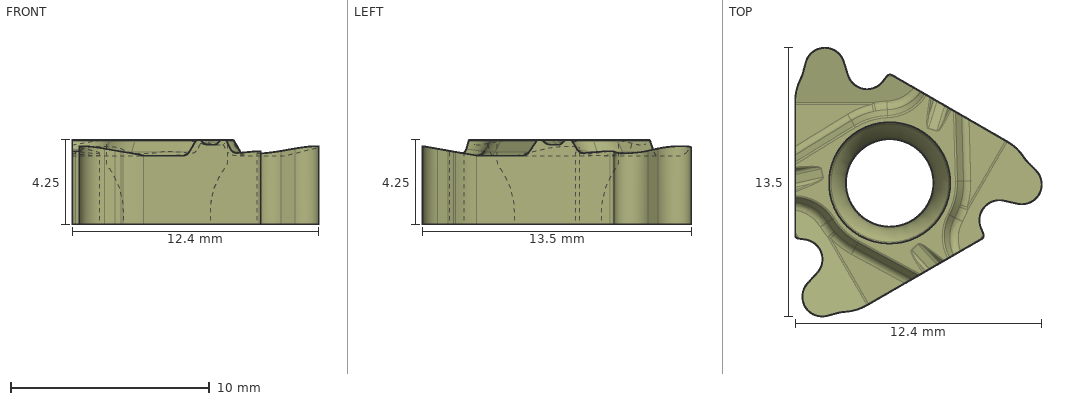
import cadquery as cq
import math

LOBES = 3
TOP_Z = 4.25
FLAT_DISTANCE = 4.76
FLAT_NORMAL = 180

TIP_CENTER = (-3.26, 5.8)
TIP_RADIUS = 1.0
NOTCH_CENTER = (-1.14, 5.72)
NOTCH_RADIUS = 1.0
NOTCH_EXIT_ANGLE = -38
FLANK_ANGLE = 15
SHOULDER_START_Y = 4.1
SHOULDER_RADIUS = 2.44
SHOULDER_ANGLE = 26
FLANK_BLEND = 1.62
CORNER_RADIUS = 0.19
CORNER_LEVEL_Y = 5.36

FLOOR_Z = 3.45
CREASE_Y = 4.02
CLIMB_ANGLE = 10
CREASE_RADIUS = 0.54
CLIMB_X = (-6.76, 2.57)
CLIMB_END_Y = 8.8
STOCK_RADIUS = 9.47

LAND_RADIUS = 3.37
LAND_LINE_ANGLE = 121.6
LAND_SWEEP_ANGLE = 92
HOLLOW_RADIUS = 2.31
HOLLOW_END_ANGLE = -15
STRAIGHT_LENGTH = 4.6
WALL_ANGLE = 30
LAND_FOOT_Z = 3.25
RIDGE_REACH = 5.14
RIM_RADIUS = 0.12
FOOT_RADIUS = 0.42

SELECT_REACH = 0.01
LENGTH_TOLERANCE = 0.001
STEEP_NORMAL_Z = 0.7

HOLE_RADIUS = 4.4 / 2
BORE_RADIUS = 3.06
BORE_DEPTH = 1.07
SEAT_BLEND = 0.43
SEAT_ANGLE = 38

GROOVE_END = (-3.41, 0.51)
GROOVE_HEADING = 12.5
GROOVE_LENGTH = 2.16
GROOVE_RISE_ANGLE = 9.8
GROOVE_FLOOR = 0.43
GROOVE_BLEND = 0.27
GROOVE_WALL_ANGLE = 45
GROOVE_TALL = 0.68
GROOVE_RIM_RADIUS = 0.11


def polar(radius, angle, center=(0, 0)):
    a = math.radians(angle)
    return (center[0] + radius * math.cos(a), center[1] + radius * math.sin(a))


def turn(point, angle):
    a = math.radians(angle)
    x, y = point
    return (x * math.cos(a) - y * math.sin(a), x * math.sin(a) + y * math.cos(a))


def lobe_angles():
    return [-360 / LOBES * i for i in range(LOBES)]


def around(shape):
    """The shape repeated once per lobe."""
    copies = cq.Workplane("XY")
    for angle in lobe_angles():
        copies = copies.add(shape.rotate((0, 0, 0), (0, 0, 1), angle))
    return copies.combine()


def meet(p, p_angle, q, q_angle):
    """Crossing point of two lines, each given by a point and a direction."""
    px, py = polar(1, p_angle)
    qx, qy = polar(1, q_angle)
    dx, dy = q[0] - p[0], q[1] - p[1]
    t = (dx * qy - dy * qx) / (px * qy - py * qx)
    return (p[0] + t * px, p[1] + t * py)


def outline_prism():
    shoulder_center = (SHOULDER_RADIUS - FLAT_DISTANCE, SHOULDER_START_Y)
    shoulder_start = (-FLAT_DISTANCE, SHOULDER_START_Y)
    shoulder_mid = polar(SHOULDER_RADIUS, 180 - SHOULDER_ANGLE / 2, shoulder_center)
    shoulder_end = polar(SHOULDER_RADIUS, 180 - SHOULDER_ANGLE, shoulder_center)

    tip_start_angle = 180 - FLANK_ANGLE
    tip_start = polar(TIP_RADIUS, tip_start_angle, TIP_CENTER)
    flank_corner = meet(shoulder_end, 90 - SHOULDER_ANGLE, tip_start, 90 - FLANK_ANGLE)

    dx = NOTCH_CENTER[0] - TIP_CENTER[0]
    dy = NOTCH_CENTER[1] - TIP_CENTER[1]
    touch = math.degrees(math.acos((TIP_RADIUS + NOTCH_RADIUS) / math.hypot(dx, dy)))
    tip_end_angle = math.degrees(math.atan2(dy, dx)) + touch
    tip_end = polar(TIP_RADIUS, tip_end_angle, TIP_CENTER)
    tip_mid = polar(TIP_RADIUS, (tip_start_angle + tip_end_angle) / 2, TIP_CENTER)

    notch_start_angle = tip_end_angle - 180
    notch_mid_angle = (notch_start_angle + NOTCH_EXIT_ANGLE) / 2
    notch_start = polar(NOTCH_RADIUS, notch_start_angle, NOTCH_CENTER)
    notch_mid = polar(NOTCH_RADIUS, notch_mid_angle, NOTCH_CENTER)
    notch_end = polar(NOTCH_RADIUS, NOTCH_EXIT_ANGLE, NOTCH_CENTER)

    next_normal = FLAT_NORMAL - 360 / LOBES
    next_foot = polar(FLAT_DISTANCE, next_normal)
    corner = meet(notch_end, NOTCH_EXIT_ANGLE + 90, next_foot, next_normal + 90)

    path = cq.Workplane("XY").moveTo(*shoulder_start)
    for angle in lobe_angles():
        path = path.lineTo(*turn(shoulder_start, angle)) if angle else path
        path = path.threePointArc(turn(shoulder_mid, angle), turn(shoulder_end, angle))
        path = path.lineTo(*turn(flank_corner, angle))
        path = path.lineTo(*turn(tip_start, angle))
        path = path.threePointArc(turn(tip_mid, angle), turn(tip_end, angle))
        path = path.lineTo(*turn(notch_start, angle))
        path = path.threePointArc(turn(notch_mid, angle), turn(notch_end, angle))
        path = path.lineTo(*turn(corner, angle))
    prism = path.close().extrude(TOP_Z)

    def upright_edges(point):
        ends = [turn(point, angle) for angle in lobe_angles()]
        return prism.edges("|Z").filter(
            lambda e: any(math.dist(e.Center().toTuple()[:2], p) < SELECT_REACH for p in ends)
        )

    prism = upright_edges(flank_corner).fillet(FLANK_BLEND)
    return upright_edges(corner).fillet(CORNER_RADIUS)


def land_wire(z, spread):
    """Closed outline of the land at height z, moved outward by spread."""
    radius = LAND_RADIUS + spread
    hollow = HOLLOW_RADIUS - spread
    hollow_center = polar(LAND_RADIUS + HOLLOW_RADIUS, LAND_SWEEP_ANGLE)
    hollow_start = LAND_SWEEP_ANGLE - 180
    round_start = polar(radius, LAND_LINE_ANGLE)
    ridge_end = polar(STRAIGHT_LENGTH, LAND_LINE_ANGLE + 90, round_start)
    points = [
        round_start,
        polar(radius, (LAND_LINE_ANGLE + LAND_SWEEP_ANGLE) / 2),
        polar(radius, LAND_SWEEP_ANGLE),
        polar(hollow, (hollow_start + HOLLOW_END_ANGLE) / 2, hollow_center),
        polar(hollow, HOLLOW_END_ANGLE, hollow_center),
    ]
    path = cq.Workplane("XY", origin=(0, 0, z)).moveTo(*ridge_end)
    for angle in lobe_angles():
        path = path.lineTo(*turn(ridge_end, angle)) if angle else path
        start, mid, join, bend, end = [turn(p, angle) for p in points]
        path = path.lineTo(*start).threePointArc(mid, join).threePointArc(bend, end)
    return path.close().val()


def land():
    spread = (TOP_Z - LAND_FOOT_Z) * math.tan(math.radians(WALL_ANGLE))
    wires = [land_wire(LAND_FOOT_Z, spread), land_wire(TOP_Z, 0)]
    solid = cq.Workplane(cq.Solid.makeLoft(wires, True))
    return solid.faces(">Z").edges().fillet(RIM_RADIUS)


def climb_height(y):
    return FLOOR_Z + (y - CREASE_Y) * math.tan(math.radians(CLIMB_ANGLE))


def pocket_floor():
    level = cq.Workplane("XY").circle(STOCK_RADIUS).extrude(FLOOR_Z)
    bend_length = CREASE_RADIUS * math.tan(math.radians(CLIMB_ANGLE / 2))
    bend_center = (CREASE_Y - bend_length, FLOOR_Z + CREASE_RADIUS)
    bend_start = (bend_center[0], FLOOR_Z)
    bend_mid = polar(CREASE_RADIUS, CLIMB_ANGLE / 2 - 90, bend_center)
    bend_end = polar(CREASE_RADIUS, CLIMB_ANGLE - 90, bend_center)
    climb = (
        cq.Workplane("YZ", origin=(CLIMB_X[0], 0, 0))
        .moveTo(bend_start[0], 0)
        .lineTo(*bend_start)
        .threePointArc(bend_mid, bend_end)
        .lineTo(CLIMB_END_Y, climb_height(CLIMB_END_Y))
        .lineTo(CLIMB_END_Y, 0)
        .close()
        .extrude(CLIMB_X[1] - CLIMB_X[0])
    )
    return level.union(around(climb))


def upper_surface():
    raised = pocket_floor().union(land())

    def at_wall_foot(edge):
        box = edge.BoundingBox()
        center = edge.Center()
        faces = edge.ancestors(raised.val(), "Face").Faces()
        on_wall = any(face.normalAt().z < STEEP_NORMAL_Z for face in faces)
        between = FLOOR_Z - SELECT_REACH < box.zmin and box.zmax < TOP_Z - 2 * RIM_RADIUS
        return between and on_wall and math.hypot(center.x, center.y) < RIDGE_REACH

    return raised.edges().filter(at_wall_foot).fillet(FOOT_RADIUS)


def hole():
    lean = math.radians(SEAT_ANGLE)
    bore_z = TOP_Z - BORE_DEPTH
    blend_center = (BORE_RADIUS - SEAT_BLEND, bore_z)
    blend_mid = polar(SEAT_BLEND, -SEAT_ANGLE / 2, blend_center)
    blend_end = polar(SEAT_BLEND, -SEAT_ANGLE, blend_center)
    seat_radius = (blend_end[0] - HOLE_RADIUS) / (1 - math.cos(lean))
    seat_center = (HOLE_RADIUS + seat_radius, blend_end[1] - seat_radius * math.sin(lean))
    seat_mid = polar(seat_radius, 180 - SEAT_ANGLE / 2, seat_center)
    return (
        cq.Workplane("XZ")
        .lineTo(HOLE_RADIUS, 0)
        .lineTo(HOLE_RADIUS, seat_center[1])
        .threePointArc(seat_mid, blend_end)
        .threePointArc(blend_mid, (BORE_RADIUS, bore_z))
        .lineTo(BORE_RADIUS, TOP_Z)
        .lineTo(0, TOP_Z)
        .close()
        .revolve(360, (0, 0, 0), (0, 1, 0))
    )


def groove():
    """Round-bottomed channel that starts at the land top and deepens outward."""
    half = GROOVE_FLOOR / 2
    wall = GROOVE_WALL_ANGLE
    center = (half, GROOVE_BLEND)
    mid = polar(GROOVE_BLEND, wall / 2 - 90, center)
    end = polar(GROOVE_BLEND, wall - 90, center)
    top = (end[0] + (GROOVE_TALL - end[1]) / math.tan(math.radians(wall)), GROOVE_TALL)
    flat_run = math.cos(math.radians(GROOVE_RISE_ANGLE))
    drop = math.sin(math.radians(GROOVE_RISE_ANGLE))
    outward = cq.Vector(*polar(flat_run, GROOVE_HEADING + 180), -drop)
    across = cq.Vector(*polar(1, GROOVE_HEADING - 90), 0)
    plane = cq.Plane(origin=(*GROOVE_END, TOP_Z), xDir=across, normal=outward)
    profile = cq.Workplane(plane).moveTo(-half, 0).lineTo(half, 0)
    profile = profile.threePointArc(mid, end).lineTo(*top)
    profile = profile.lineTo(-top[0], top[1]).lineTo(-end[0], end[1])
    return profile.threePointArc((-mid[0], mid[1]), (-half, 0)).close().extrude(GROOVE_LENGTH)


def corner_level():
    """Cutter that trims the very corner beside the notch level."""
    level_z = climb_height(CORNER_LEVEL_Y)
    size = NOTCH_RADIUS
    middle = (0, CORNER_LEVEL_Y + size / 2, level_z)
    return cq.Workplane("XY", origin=middle).rect(2 * size, size).extrude(size)


def round_groove_rims(body):
    """Rounds the long upper edges of the grooves, but not their inner ends."""

    def on_rim(edge):
        center = edge.Center()
        in_land = LAND_RADIUS < math.hypot(center.x, center.y) < FLAT_DISTANCE
        inner_end = abs(edge.Length() - GROOVE_FLOOR) < LENGTH_TOLERANCE
        return in_land and edge.geomType() in ("LINE", "ELLIPSE") and not inner_end

    rims = body.faces(">Z").edges()
    return rims.filter(on_rim).fillet(GROOVE_RIM_RADIUS)


result = upper_surface().intersect(outline_prism())
result = result.cut(hole()).cut(around(corner_level())).cut(around(groove()))
result = round_groove_rims(result)